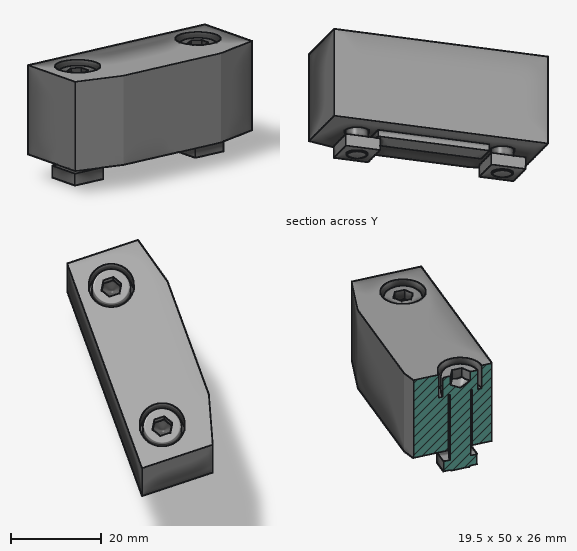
import cadquery as cq
import math

block_width = 19.5
block_length = 50
block_height = 20.5
taper_width = 3
taper_angle = 15
taper_length = taper_width / math.tan(math.radians(taper_angle))

tongue_width = 5.3
tongue_length = 26
tongue_height = 1.5

screw_x = 7.5
screw_spacing = 34
clearance_diameter = 5.5
counterbore_diameter = 10
head_recess = 1

shank_diameter = 5
head_diameter = 8.5
head_height = shank_diameter
head_fillet = 0.5
tip_chamfer = 0.35
socket_flats = 4
socket_depth = 2.5
socket_cone_angle = 120

nut_side = 8
nut_height = 2.75
nut_gap = 2.5
tip_projection = 0.25

head_top = block_height - head_recess
head_seat = head_top - head_height
nut_bottom = -nut_gap - nut_height
screw_tip = nut_bottom - tip_projection


def make_block():
    """Block with one long side tapered toward both ends, plus its tongue."""
    half_length = block_length / 2
    straight_half = half_length - taper_length
    end_width = block_width - taper_width
    outline = [
        (0, -half_length),
        (end_width, -half_length),
        (block_width, -straight_half),
        (block_width, straight_half),
        (end_width, half_length),
        (0, half_length),
    ]
    block = cq.Workplane("XY").polyline(outline).close().extrude(block_height)
    tongue = (
        cq.Workplane("XY")
        .center(screw_x, 0)
        .rect(tongue_width, tongue_length)
        .extrude(-tongue_height)
    )
    return block.union(tongue)


def make_screw_hole():
    """Clearance hole with a counterbore down to the head seat."""
    clearance = cq.Workplane("XY").circle(clearance_diameter / 2).extrude(block_height)
    counterbore = (
        cq.Workplane("XY", origin=(0, 0, head_seat))
        .circle(counterbore_diameter / 2)
        .extrude(block_height - head_seat)
    )
    return clearance.union(counterbore)


def make_socket():
    """Hexagonal socket, corners along X, with a conical bottom."""
    corner_diameter = socket_flats / math.cos(math.pi / 6)
    corner_radius = corner_diameter / 2
    cone_radius = socket_flats / 2
    cone_depth = cone_radius / math.tan(math.radians(socket_cone_angle / 2))
    hexagon = (
        cq.Workplane("XY", origin=(0, 0, head_top))
        .polygon(6, corner_diameter)
        .extrude(-socket_depth - cone_depth)
    )
    flare_depth = corner_radius / math.tan(math.radians(socket_cone_angle / 2))
    socket_end = head_top - socket_depth - cone_depth
    envelope = (
        cq.Workplane("XZ")
        .moveTo(0, socket_end)
        .lineTo(corner_radius, socket_end + flare_depth)
        .lineTo(corner_radius, head_top)
        .lineTo(0, head_top)
        .close()
        .revolve(360, (0, 0, 0), (0, 1, 0))
    )
    return hexagon.intersect(envelope)


def make_screw():
    """Socket head screw with its square nut, along the Z axis."""
    head = (
        cq.Workplane("XY", origin=(0, 0, head_seat))
        .circle(head_diameter / 2)
        .extrude(head_height)
        .faces(">Z")
        .edges()
        .fillet(head_fillet)
    )
    shank = (
        cq.Workplane("XY", origin=(0, 0, screw_tip))
        .circle(shank_diameter / 2)
        .extrude(head_seat - screw_tip)
        .faces("<Z")
        .chamfer(tip_chamfer)
    )
    nut = (
        cq.Workplane("XY", origin=(0, 0, nut_bottom))
        .rect(nut_side, nut_side)
        .extrude(nut_height)
    )
    return head.union(shank).union(nut).cut(make_socket())


result = make_block()
screw_hole = make_screw_hole()
screw = make_screw()
for side in (-1, 1):
    position = (screw_x, side * screw_spacing / 2, 0)
    result = result.cut(screw_hole.translate(position))
    result = result.union(screw.translate(position))